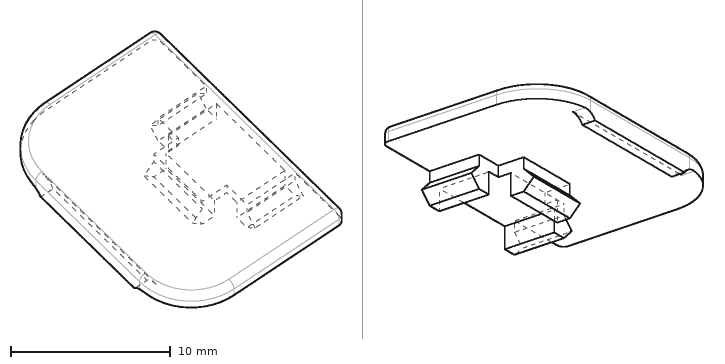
import cadquery as cq

LENGTH = 18.6
WIDTH = 13.22
PLATE_THICKNESS = 1.2
FRONT_CORNER_RADIUS = 4.2
EDGE_RADIUS = 0.5

LIP_DEPTH = 1.73
LIP_WIDTH = 1.0
LIP_HALF_LENGTH = 4.61
LIP_END_RADIUS = 1.23

BASE_DEPTH = 2.0
BASE_HALF_LENGTH = 4.37
BASE_WIDTH = 3.9
TONGUE_HALF_LENGTH = 2.38
TONGUE_REACH = 5.9

HOOK_DEPTH = 3.6
HOOK_THICKNESS = 1.0
HOOK_OVERHANG = 0.8

BACK_Y = WIDTH / 2
FRONT_Y = -WIDTH / 2


def make_plate():
    """Plate with large front corners, small back corners and a rounded top rim."""
    plate = cq.Workplane("XY").box(LENGTH, WIDTH, PLATE_THICKNESS, centered=(True, True, False))
    plate = plate.translate((0, 0, -PLATE_THICKNESS))
    plate = plate.edges("|Z and <Y").fillet(FRONT_CORNER_RADIUS)
    plate = plate.edges("|Z and >Y").fillet(EDGE_RADIUS)
    return plate.faces(">Z").edges().fillet(EDGE_RADIUS)


def make_lip():
    """Front lip whose ends sweep up tangent to the plate, trimmed to the front corners."""
    drop = LIP_DEPTH - PLATE_THICKNESS
    end_run = (2 * LIP_END_RADIUS * drop - drop**2) ** 0.5
    outer = LIP_HALF_LENGTH + end_run
    centre_z = -PLATE_THICKNESS - LIP_END_RADIUS
    mid = cq.Vector(-end_run / 2, 0, LIP_END_RADIUS - drop / 2).normalized() * LIP_END_RADIUS
    mid_x = outer + mid.x
    mid_z = centre_z + mid.z
    lip = (
        cq.Workplane("XZ", origin=(0, FRONT_Y, 0))
        .moveTo(-outer, -EDGE_RADIUS)
        .lineTo(outer, -EDGE_RADIUS)
        .lineTo(outer, -PLATE_THICKNESS)
        .threePointArc((mid_x, mid_z), (LIP_HALF_LENGTH, -LIP_DEPTH))
        .lineTo(-LIP_HALF_LENGTH, -LIP_DEPTH)
        .threePointArc((-mid_x, mid_z), (-outer, -PLATE_THICKNESS))
        .close()
        .extrude(-LIP_WIDTH)
    )
    envelope = (
        cq.Workplane("XY")
        .box(LENGTH, WIDTH, 2 * LIP_DEPTH)
        .edges("|Z and <Y")
        .fillet(FRONT_CORNER_RADIUS)
    )
    return lip.intersect(envelope)


def make_base_block(half_length, reach):
    """Block from the back edge, reaching from the plate down to the base depth."""
    block = cq.Workplane("XY").box(
        2 * half_length, reach, BASE_DEPTH - EDGE_RADIUS, centered=(True, False, False)
    )
    return block.translate((0, BACK_Y - reach, -BASE_DEPTH))


def hook_profile(plane, face):
    """Hook outline with its outer face at the given offset and a 45 degree barb beyond it."""
    tip_z = -(BASE_DEPTH + HOOK_DEPTH) / 2
    inner = face - HOOK_THICKNESS
    return plane.polyline(
        [
            (inner, -PLATE_THICKNESS),
            (face, -PLATE_THICKNESS),
            (face, -BASE_DEPTH),
            (face + HOOK_OVERHANG, tip_z),
            (face, -HOOK_DEPTH),
            (inner, -HOOK_DEPTH),
        ]
    ).close()


def make_side_hook():
    """Hook at the +X end of the base, running from the back edge."""
    plane = cq.Workplane("XZ", origin=(0, BACK_Y, 0))
    return hook_profile(plane, BASE_HALF_LENGTH).extrude(BASE_WIDTH)


def make_front_hook():
    """Hook at the end of the tongue, with its barb towards the front."""
    forward = cq.Plane(origin=(0, BACK_Y, 0), xDir=(0, -1, 0), normal=(-1, 0, 0))
    hook = hook_profile(cq.Workplane(forward), TONGUE_REACH)
    return hook.extrude(TONGUE_HALF_LENGTH, both=True)


side_hook = make_side_hook()
result = (
    make_plate()
    .union(make_lip())
    .union(make_base_block(BASE_HALF_LENGTH, BASE_WIDTH))
    .union(make_base_block(TONGUE_HALF_LENGTH, TONGUE_REACH))
    .union(side_hook)
    .union(side_hook.mirror("YZ"))
    .union(make_front_hook())
)